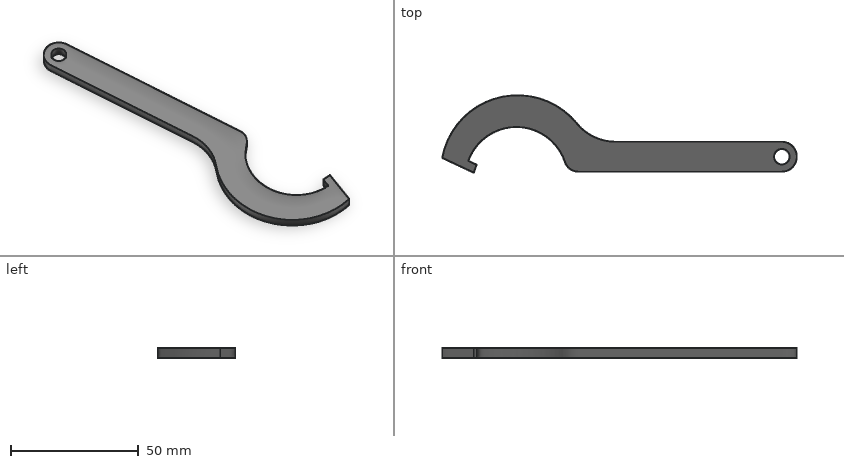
import cadquery as cq
import math

overall_length = 138.6
thickness = 4.0

outer_radius = 30.0
inner_radius = 20.0
inner_center = (-0.4, -2.5)

heel_height = 5.4
tooth_toe = (-17.0, -0.4)
tooth_tip = (-16.0, 2.8)
tooth_root_height = 4.3

handle_width = 11.8
hole_diameter = 6.0
upper_blend_radius = 19.4
lower_blend_radius = 5.5

heel_x = -math.sqrt(outer_radius**2 - heel_height**2)
handle_end_x = heel_x + overall_length - handle_width / 2


def point_on(center, radius, angle):
    """Point on a circle at an angle in radians."""
    return (center[0] + radius * math.cos(angle), center[1] + radius * math.sin(angle))


def angle_to(start, end):
    """Direction in radians from one point to another."""
    return math.atan2(end[1] - start[1], end[0] - start[0])


def arc_through(outline, center, radius, start_angle, end_angle):
    """Add an arc about a center, running from start_angle to end_angle."""
    middle = point_on(center, radius, (start_angle + end_angle) / 2)
    return outline.threePointArc(middle, point_on(center, radius, end_angle))


def blend_center(arc_center, arc_radius, blend_radius, height):
    """Center, at a given height, of a circle touching the right of an arc from outside."""
    reach = arc_radius + blend_radius
    rise = height - arc_center[1]
    return (arc_center[0] + math.sqrt(reach**2 - rise**2), height)


def spanner_outline():
    outer_center = (0, 0)
    upper_center = blend_center(
        outer_center, outer_radius, upper_blend_radius, handle_width + upper_blend_radius
    )
    lower_center = blend_center(inner_center, inner_radius, lower_blend_radius, lower_blend_radius)
    upper_touch = angle_to(outer_center, upper_center)
    lower_touch = angle_to(inner_center, lower_center)

    heel_angle = math.pi - math.asin(heel_height / outer_radius)
    root_angle = math.pi - math.asin((tooth_root_height - inner_center[1]) / inner_radius)

    outline = cq.Workplane("XY").moveTo(*point_on(outer_center, outer_radius, heel_angle))
    outline = arc_through(outline, outer_center, outer_radius, heel_angle, upper_touch)
    outline = arc_through(
        outline, upper_center, upper_blend_radius, upper_touch + math.pi, 1.5 * math.pi
    )
    outline = outline.lineTo(handle_end_x, handle_width)
    outline = outline.threePointArc(
        (handle_end_x + handle_width / 2, handle_width / 2), (handle_end_x, 0)
    )
    outline = outline.lineTo(lower_center[0], 0)
    outline = arc_through(
        outline, lower_center, lower_blend_radius, 1.5 * math.pi, lower_touch + math.pi
    )
    outline = arc_through(outline, inner_center, inner_radius, lower_touch, root_angle)
    return outline.lineTo(*tooth_tip).lineTo(*tooth_toe).close()


plate = spanner_outline().extrude(thickness)
hanging_hole = (
    cq.Workplane("XY")
    .center(handle_end_x, handle_width / 2)
    .circle(hole_diameter / 2)
    .extrude(thickness)
)
result = plate.cut(hanging_hole)